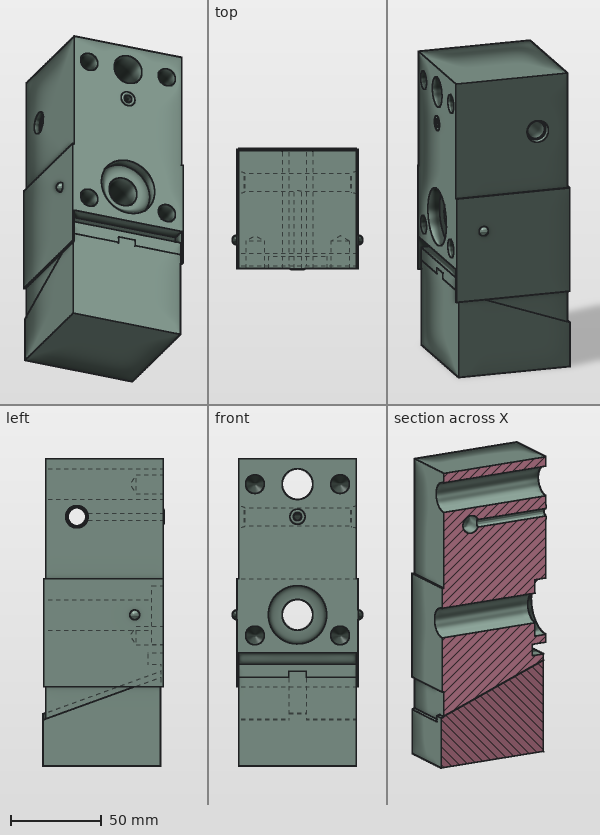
import cadquery as cq
import math


total_height = 169.5
block_width = 64.9
half_width = block_width / 2
cap_offset = 1.5

joint_front_height = 49.0
joint_back_height = 25.5
key_width = 9.8
key_height = 3.4

sleeve_thickness = 1.0
sleeve_bottom = 43.7
sleeve_height = 59.7

groove_floor = 56.3
groove_height = 6.3
groove_depth = 8.5

bore_diameter = 16.8
upper_bore_height = 155.5
lower_bore_height = 83.4
counterbore_diameter = 32.2
counterbore_depth = 6.8

mounting_diameter = 10.3
mounting_depth = 15.3
mounting_spacing = 47.0
lower_mounting_height = 72.0
drill_point_angle = 118.0

port_height = 137.5
port_ring_radius = 3.2
port_lip_radius = 1.2
port_lip_rise = 0.5
port_diameter = 4.0

cross_diameter = 9.8
cross_setback = 47.6
cross_mouth_diameter = 12.4
cross_mouth_floor_diameter = 11.0
cross_mouth_depth = 2.7

stud_radius = 2.7
stud_rise = 2.5
stud_setback = 15.8


def box_between(x_range, y_range, z_range):
    """Axis-aligned box given by its limits along each axis."""
    sizes = [high - low for low, high in (x_range, y_range, z_range)]
    corner = (x_range[0], y_range[0], z_range[0])
    return cq.Workplane("XY").box(*sizes, centered=False).translate(corner)


def front_cylinder(x, z, diameter, depth):
    """Cylinder going back from the front face."""
    return cq.Workplane("XZ", origin=(x, 0, z)).circle(diameter / 2).extrude(-depth)


def drilled_hole(x, z, diameter, depth):
    """Blind hole from the front face that ends in a conical drill point."""
    radius = diameter / 2
    point_length = radius / math.tan(math.radians(drill_point_angle / 2))
    profile = [(0, 0), (radius, 0), (radius, depth), (0, depth + point_length)]
    return cq.Workplane("XY").polyline(profile).close().revolve(360, (0, 0), (0, 1)).translate((x, 0, z))


def make_cap():
    """Block with a sloping top and a key along the slope."""
    front = cap_offset
    back = cap_offset + block_width
    wedge = (
        cq.Workplane("YZ")
        .polyline([(front, 0), (back, 0), (back, joint_back_height), (front, joint_front_height)])
        .close()
        .extrude(half_width, both=True)
    )
    key = (
        cq.Workplane("YZ")
        .polyline([
            (front, joint_front_height),
            (back, joint_back_height),
            (back, joint_back_height + key_height),
            (front, joint_front_height + key_height),
        ])
        .close()
        .extrude(key_width / 2, both=True)
    )
    return wedge.union(key)


def make_blank():
    """Housing block with its sleeve, the front groove and the step below it."""
    outer_half = half_width + sleeve_thickness
    sleeve_top = sleeve_bottom + sleeve_height
    block = box_between((-half_width, half_width), (0, block_width), (0, total_height))
    sleeve = box_between(
        (-outer_half, outer_half), (0, block_width + sleeve_thickness), (sleeve_bottom, sleeve_top)
    )
    groove = box_between(
        (-half_width, half_width), (0, groove_depth), (groove_floor, groove_floor + groove_height)
    )
    step = box_between((-half_width, half_width), (0, cap_offset), (0, groove_floor))
    return block.union(sleeve).cut(groove).cut(step)


def add_studs(housing):
    """Ball standing out of each side of the sleeve, each turned about its own X axis."""
    tip = half_width + sleeve_thickness + stud_rise
    for side in (-1, 1):
        centre = side * (tip - stud_radius)
        ball = (
            cq.Workplane("XY")
            .moveTo(centre - stud_radius, 0)
            .threePointArc((centre, stud_radius), (centre + stud_radius, 0))
            .close()
            .revolve(360, (0, 0), (1, 0))
            .translate((0, stud_setback, lower_bore_height))
        )
        housing = housing.union(ball)
    return housing


def cut_front_holes(housing):
    """Two through bores, the counterbore of the lower one and four mounting holes."""
    through_depth = block_width + sleeve_thickness
    for z in (upper_bore_height, lower_bore_height):
        housing = housing.cut(front_cylinder(0, z, bore_diameter, through_depth))
    housing = housing.cut(front_cylinder(0, lower_bore_height, counterbore_diameter, counterbore_depth))
    for side in (-1, 1):
        for z in (upper_bore_height, lower_mounting_height):
            x = side * mounting_spacing / 2
            housing = housing.cut(drilled_hole(x, z, mounting_diameter, mounting_depth))
    return housing


def add_port(housing):
    """Round lip part-sunk in the front face around a small hole that runs back into the cross hole."""
    lip_centre = port_lip_radius - port_lip_rise
    lip = (
        cq.Workplane("XY")
        .center(port_ring_radius, lip_centre)
        .circle(port_lip_radius)
        .revolve(360, (-port_ring_radius, 0), (-port_ring_radius, 1))
        .translate((0, 0, port_height))
    )
    hole = front_cylinder(0, port_height, port_diameter, cross_setback)
    return housing.cut(hole).union(lip)


def cut_cross_hole(housing):
    """Through hole along X with a slightly tapered wider mouth and a 45 degree shoulder at each end."""
    radius = cross_diameter / 2
    rim_radius = cross_mouth_diameter / 2
    floor_radius = cross_mouth_floor_diameter / 2
    shoulder_start = half_width - cross_mouth_depth
    shoulder_end = shoulder_start - (floor_radius - radius)
    mouth_profile = [
        (shoulder_end, 0),
        (shoulder_end, radius),
        (shoulder_start, floor_radius),
        (half_width, rim_radius),
        (half_width, 0),
    ]
    mouth = cq.Workplane("XY").polyline(mouth_profile).close().revolve(360, (0, 0), (1, 0))
    hole = cq.Workplane("YZ").circle(radius).extrude(half_width, both=True)
    hole = hole.union(mouth).union(mouth.mirror("YZ"))
    return housing.cut(hole.translate((0, cross_setback, port_height)))


def make_housing(cap):
    """Upper block, with its underside shaped by the cap."""
    housing = make_blank()
    housing = add_studs(housing)
    housing = cut_front_holes(housing)
    housing = cut_cross_hole(housing)
    housing = add_port(housing)
    return housing.cut(cap)


cap = make_cap()
housing = make_housing(cap)

result = cq.Compound.makeCompound([housing.solids().val(), cap.solids().val()])